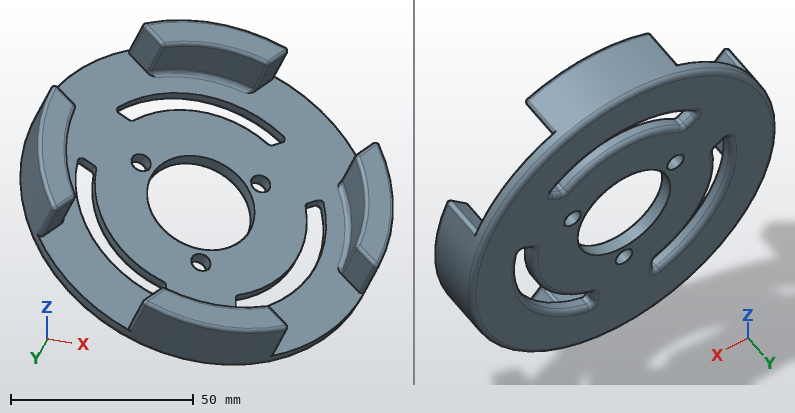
import cadquery as cq
import math

outer_radius = 50.9
total_depth = 18.0
plate_thickness = 4.0
back_edge_radius = 1.5

bore_radius = 15.4
bolt_hole_diameter = 5.5
bolt_circle_radius = 19.7

arm_angles = (30, 150, 270)
arm_width = 20.0
slot_inner_radius = 30.3
slot_outer_radius = 35.8
slot_corner_radius = 1.2
slot_back_edge_radius = 1.5

pad_inner_radius = 42.7
pad_gap_angles = (45, 135)
pad_gap_width = 35.1
pad_edge_radius = 1.0
pad_root_radius = 1.5

BASE = cq.Workplane("XZ")


def make_rim_body():
    """Disc with a full rim on its front, filleted where the rim's inner wall meets the disc."""
    root_inner = pad_inner_radius - pad_root_radius
    root_front = plate_thickness + pad_root_radius
    bulge = pad_root_radius * (1 - math.sqrt(0.5))
    profile = (
        cq.Workplane("XY")
        .lineTo(0, -plate_thickness)
        .lineTo(root_inner, -plate_thickness)
        .threePointArc(
            (pad_inner_radius - bulge, -plate_thickness - bulge),
            (pad_inner_radius, -root_front),
        )
        .lineTo(pad_inner_radius, -total_depth)
        .lineTo(outer_radius, -total_depth)
        .lineTo(outer_radius, 0)
        .close()
    )
    body = profile.revolve(360, (0, 0, 0), (0, 1, 0))
    body = body.faces(">Y").edges().fillet(back_edge_radius)
    return body.rotate((0, 0, 0), (0, 1, 0), pad_gap_angles[0])


def split_rim_into_pads(body):
    """Cut the crossing gaps down to the plate and round the exposed pad edges."""
    pad_height = total_depth - plate_thickness
    for angle in pad_gap_angles:
        gap = (
            BASE.workplane(offset=plate_thickness)
            .transformed(rotate=(0, 0, angle))
            .rect(2 * outer_radius, pad_gap_width)
            .extrude(pad_height)
        )
        body = body.cut(gap)

    clearance = 0.1
    in_front_of_plate = cq.selectors.BoxSelector(
        (-outer_radius, -plate_thickness - clearance, -outer_radius),
        (outer_radius, -total_depth - clearance, outer_radius),
    )
    side_or_front = cq.selectors.StringSyntaxSelector("(not %CIRCLE) or <Y")
    return body.edges(in_front_of_plate & side_or_front).fillet(pad_edge_radius)


def make_slots():
    """Three arc slots, interrupted by the webs and flared by a rounding at the back face."""
    slots = BASE.circle(slot_outer_radius).circle(slot_inner_radius).extrude(plate_thickness)
    for angle in arm_angles:
        arm = (
            BASE.transformed(rotate=(0, 0, angle))
            .center(outer_radius / 2, 0)
            .rect(outer_radius, arm_width)
            .extrude(plate_thickness)
        )
        slots = slots.cut(arm)
    return slots.edges("|Y").fillet(slot_corner_radius)


def cut_slots(body):
    body = body.cut(make_slots())
    slot_outlines = body.faces(">Y").val().innerWires()
    back_edges = [edge for outline in slot_outlines for edge in outline.Edges()]
    return body.newObject(back_edges).fillet(slot_back_edge_radius)


def cut_round_holes(body):
    bore = BASE.circle(bore_radius).extrude(plate_thickness)
    bolt_holes = (
        BASE.polarArray(bolt_circle_radius, arm_angles[0], 360, len(arm_angles))
        .circle(bolt_hole_diameter / 2)
        .extrude(plate_thickness)
    )
    return body.cut(bore).cut(bolt_holes)


result = make_rim_body()
result = split_rim_into_pads(result)
result = cut_slots(result)
result = cut_round_holes(result)